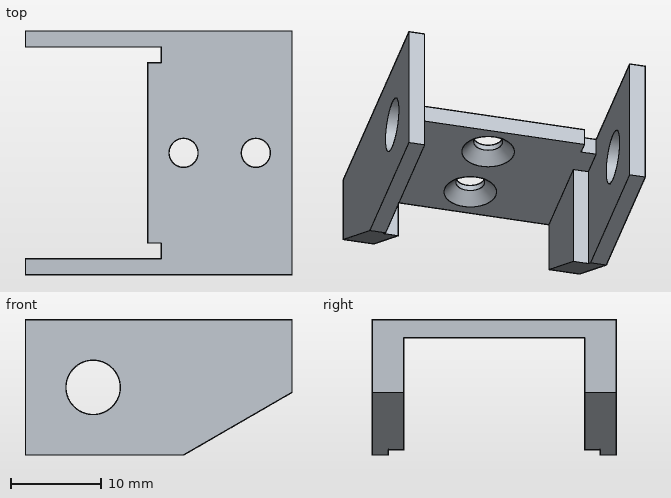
import cadquery as cq
import math

length = 29.5
width = 27.0
height = 15.0

wall = 1.8
slope_start = 17.5
slope_angle = 30.0
pivot_diameter = 6.0
pivot_x = height / 2
pivot_z = height / 2

plate_thickness = 2.0
plate_front = 13.5
notch_end = 15.02
rib_front = 18.5
rib_thickness = 1.7

mount_diameter = 3.2
countersink_diameter = 5.8
countersink_depth = (countersink_diameter - mount_diameter) / 2
mount_positions = (17.5, 25.5)

slope_tangent = math.tan(math.radians(slope_angle))
slope_end = (length - slope_start) * slope_tangent
rib_bottom = (rib_front - slope_start) * slope_tangent


def side_slab(points, start_y, thickness):
    """Extrude an XZ outline by thickness along Y (negative reverses) from start_y."""
    return (
        cq.Workplane("XZ", origin=(0, start_y, 0))
        .polyline(points)
        .close()
        .extrude(-thickness)
    )


def side(outer_y, inward):
    """Side wall with its inner rib; inward is +1 or -1 along Y."""
    wall_outline = [
        (0, 0), (slope_start, 0), (length, slope_end), (length, height), (0, height),
    ]
    rib_outline = [
        (rib_front, rib_bottom), (length, slope_end), (length, height), (rib_front, height),
    ]
    outer_wall = side_slab(wall_outline, outer_y, inward * wall)
    rib = side_slab(rib_outline, outer_y + inward * wall, inward * rib_thickness)
    return outer_wall.union(rib)


def plate_block(front_x, block_width):
    """Slab of plate thickness from front_x to the rear face."""
    return cq.Workplane("XY", origin=(front_x, 0, height - plate_thickness)).box(
        length - front_x, block_width, plate_thickness, centered=(False, True, False)
    )


def top_plate():
    """Full-width plate with a narrower tongue reaching forward."""
    tongue_width = width - 2 * (wall + rib_thickness)
    return plate_block(notch_end, width).union(plate_block(plate_front, tongue_width))


result = side(-width / 2, 1).union(side(width / 2, -1)).union(top_plate())

pivot_hole = (
    cq.Workplane("XZ", origin=(pivot_x, 0, pivot_z))
    .circle(pivot_diameter / 2)
    .extrude(width, both=True)
)
result = result.cut(pivot_hole)

mount_holes = (
    cq.Workplane("XY")
    .pushPoints([(x, 0) for x in mount_positions])
    .circle(mount_diameter / 2)
    .extrude(height)
)
result = result.cut(mount_holes)

for x in mount_positions:
    countersink = cq.Solid.makeCone(
        countersink_diameter / 2, mount_diameter / 2, countersink_depth,
        pnt=cq.Vector(x, 0, height - plate_thickness),
    )
    result = result.cut(countersink)